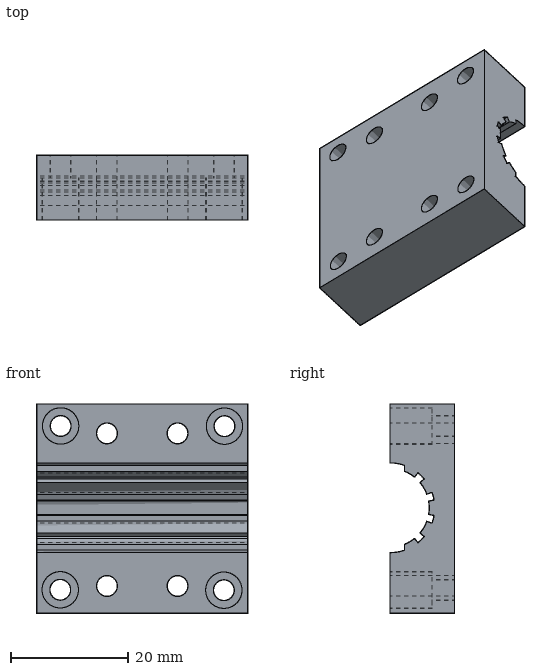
import cadquery as cq
import math

LENGTH = 36.0
DEPTH = 11.05
HEIGHT = 35.68

BORE_Z = 0.15
BORE_RADIUS = 6.7
GROOVE_RADIUS = 7.65
GROOVE_ANGLES = ((10, 20), (40, 51))
EDGE_RELIEF_DEPTH = 2.5

HOLE_DIAMETER = 3.5
COUNTERBORE_DIAMETER = 6.2
COUNTERBORE_DEPTH = 7.2
COUNTERBORE_CENTERS = ((-13.9, 14.08), (14.0, 14.05), (-13.95, -13.82), (13.9, -13.9))
PLAIN_HOLE_X = 6.0
PLAIN_HOLE_ROWS = (12.8, -13.18)


def bore_cylinder(radius):
    """Cylinder on the bore axis, as long as the block."""
    return cq.Workplane("YZ").center(0, BORE_Z).circle(radius).extrude(LENGTH / 2, both=True)


def edge_relief():
    """Slice of the groove circle next to the front face, widening both bore edges."""
    slab = cq.Workplane("XY").box(LENGTH, EDGE_RELIEF_DEPTH, HEIGHT, centered=(True, False, True))
    return bore_cylinder(GROOVE_RADIUS).intersect(slab)


def bore_sector(start, end):
    """Sector of the groove circle between two angles, swept along the block."""
    def rim_point(angle):
        a = math.radians(angle)
        return GROOVE_RADIUS * math.cos(a), BORE_Z + GROOVE_RADIUS * math.sin(a)

    return (
        cq.Workplane("YZ")
        .moveTo(0, BORE_Z)
        .lineTo(*rim_point(start))
        .threePointArc(rim_point((start + end) / 2), rim_point(end))
        .close()
        .extrude(LENGTH / 2, both=True)
    )


def grooved_bore():
    """Round bore with mirrored radial grooves and a relief at each front edge."""
    cutter = bore_cylinder(BORE_RADIUS).union(edge_relief())
    for start, end in GROOVE_ANGLES:
        cutter = cutter.union(bore_sector(start, end))
        cutter = cutter.union(bore_sector(-end, -start))
    return cutter


def front_holes(centers, diameter, depth):
    """Holes sunk from the front face at the given (x, z) centers."""
    return cq.Workplane("XZ").pushPoints(centers).circle(diameter / 2).extrude(-depth)


plain_hole_centers = [(x, z) for x in (-PLAIN_HOLE_X, PLAIN_HOLE_X) for z in PLAIN_HOLE_ROWS]
through_hole_centers = list(COUNTERBORE_CENTERS) + plain_hole_centers

block = cq.Workplane("XY").box(LENGTH, DEPTH, HEIGHT, centered=(True, False, True))
result = (
    block
    .cut(grooved_bore())
    .cut(front_holes(through_hole_centers, HOLE_DIAMETER, DEPTH))
    .cut(front_holes(COUNTERBORE_CENTERS, COUNTERBORE_DIAMETER, COUNTERBORE_DEPTH))
)